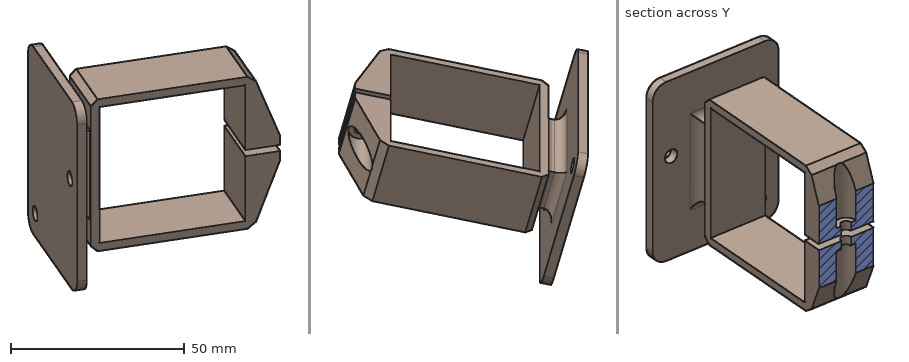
import cadquery as cq

PLATE_WIDTH = 46.1
PLATE_HEIGHT = 61.0
PLATE_THICKNESS = 3.0
PLATE_CORNER_RADIUS = 5.0
PLATE_HOLE_DIAMETER = 4.5
PLATE_HOLE_CENTRES = [(16.25, 4.5), (-16.25, -23.0)]

STEM_WIDTH = 13.0
STEM_HEIGHT = 27.0
STEM_STRAIGHT_LENGTH = 1.0
STEM_PLATE_FILLET = 3.0
STEM_CLAMP_FILLET = 2.2
STEM_EMBED = 0.3

TOTAL_DEPTH = 66.3
CLAMP_CENTRE_X = -1.5
CLAMP_WIDTH = 20.0
OPENING = 44.2
WALL = 2.65
CLAMP_CHAMFER = 2.0
CLAMP_GAP = 2.0

LUG_TIP_HEIGHT = 3.0
LUG_SHOULDER_INSET = 7.3
LUG_SHOULDER_DROP = 1.9
LUG_SLOPE_LENGTH = 2.65

SCREW_DIAMETER = 3.5
SEAT_DIAMETER = 7.0
SCREW_INSET = 3.9

STEM_LENGTH = STEM_PLATE_FILLET + STEM_STRAIGHT_LENGTH + STEM_CLAMP_FILLET
CLAMP_FRONT = PLATE_THICKNESS + STEM_LENGTH - STEM_EMBED
OPENING_FRONT = CLAMP_FRONT + WALL
OPENING_BACK = OPENING_FRONT + OPENING
OUTER_HALF = OPENING / 2 + WALL
LUG_TIP_Z = CLAMP_GAP / 2 + LUG_TIP_HEIGHT
SHOULDER_Y = TOTAL_DEPTH - LUG_SHOULDER_INSET
SCREW_Y = TOTAL_DEPTH - SCREW_INSET


def make_plate():
    """Rounded plate with its two mounting holes."""
    plate = (
        cq.Workplane("XZ")
        .rect(PLATE_WIDTH, PLATE_HEIGHT)
        .extrude(-PLATE_THICKNESS)
        .edges("|Y")
        .fillet(PLATE_CORNER_RADIUS)
    )
    holes = (
        cq.Workplane("XZ")
        .pushPoints(PLATE_HOLE_CENTRES)
        .circle(PLATE_HOLE_DIAMETER / 2)
        .extrude(-PLATE_THICKNESS)
    )
    return plate.cut(holes)


def stem_edges(body, y):
    """The four edges where the stem meets a flat face at the given Y."""
    margin = 0.1
    near_stem_end = cq.selectors.BoxSelector(
        (-STEM_WIDTH / 2 - margin, y - margin, -STEM_HEIGHT / 2 - margin),
        (STEM_WIDTH / 2 + margin, y + margin, STEM_HEIGHT / 2 + margin),
        boundingbox=True,
    )
    return body.edges(near_stem_end)


def slab(width, height, start_y, end_y):
    """Block centred on the Y axis, spanning start_y to end_y."""
    return cq.Workplane("XZ", origin=(0, start_y, 0)).rect(width, height).extrude(start_y - end_y)


def make_plate_with_stem():
    """Plate and stem, with the clamp-end flare cut off flat at the clamp's front face.

    A temporary end block gives the clamp-end flare a face to blend into.
    """
    stem_end = PLATE_THICKNESS + STEM_LENGTH
    block_end = stem_end + WALL
    stem = slab(STEM_WIDTH, STEM_HEIGHT, PLATE_THICKNESS, stem_end)
    end_block = slab(PLATE_WIDTH, PLATE_HEIGHT, stem_end, block_end)
    body = make_plate().union(stem).union(end_block)
    body = stem_edges(body, PLATE_THICKNESS).fillet(STEM_PLATE_FILLET)
    body = stem_edges(body, stem_end).fillet(STEM_CLAMP_FILLET)
    return body.cut(slab(PLATE_WIDTH, PLATE_HEIGHT, CLAMP_FRONT, block_end))


def make_clamp_half():
    """Upper half of the clamp, extruded along X from its YZ profile."""
    profile = [
        (CLAMP_FRONT, 0),
        (CLAMP_FRONT, OUTER_HALF - CLAMP_CHAMFER),
        (CLAMP_FRONT + CLAMP_CHAMFER, OUTER_HALF),
        (SHOULDER_Y - LUG_SLOPE_LENGTH, OUTER_HALF),
        (SHOULDER_Y, OUTER_HALF - LUG_SHOULDER_DROP),
        (TOTAL_DEPTH, LUG_TIP_Z),
        (TOTAL_DEPTH, CLAMP_GAP / 2),
        (OPENING_BACK, CLAMP_GAP / 2),
        (OPENING_BACK, OPENING / 2),
        (OPENING_FRONT, OPENING / 2),
        (OPENING_FRONT, 0),
    ]
    half = (
        cq.Workplane("YZ", origin=(CLAMP_CENTRE_X, 0, 0))
        .polyline(profile)
        .close()
        .extrude(CLAMP_WIDTH / 2, both=True)
    )
    screw_hole = (
        cq.Workplane("XY", origin=(CLAMP_CENTRE_X, SCREW_Y, 0))
        .circle(SCREW_DIAMETER / 2)
        .extrude(OUTER_HALF)
    )
    screw_seat = (
        cq.Workplane("XY", origin=(CLAMP_CENTRE_X, SCREW_Y, LUG_TIP_Z))
        .circle(SEAT_DIAMETER / 2)
        .extrude(OUTER_HALF - LUG_TIP_Z)
    )
    return half.cut(screw_hole).cut(screw_seat)


upper_half = make_clamp_half()
clamp = upper_half.union(upper_half.mirror("XY"))
result = make_plate_with_stem().union(clamp).clean()